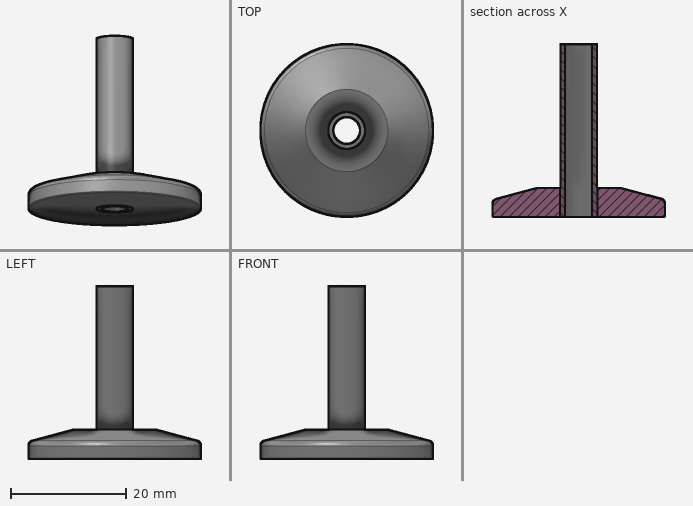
import cadquery as cq
import math

foot_diameter = 30.0
flat_top_diameter = 14.3
rim_height = 3.0
cone_slope = 15.0
rim_rounding = 1.0
bottom_rounding = 0.2

tube_outer_diameter = 6.4
tube_bore_diameter = 4.6
tube_length = 30.0

foot_radius = foot_diameter / 2
flat_top_radius = flat_top_diameter / 2
tube_outer_radius = tube_outer_diameter / 2
tube_bore_radius = tube_bore_diameter / 2
cone_rise = (foot_radius - flat_top_radius) * math.tan(math.radians(cone_slope))
foot_height = rim_height + cone_rise


def make_foot():
    wall = cq.Workplane("XY").circle(foot_radius).extrude(rim_height)
    cone = cq.Workplane(
        cq.Solid.makeCone(foot_radius, flat_top_radius, cone_rise, pnt=cq.Vector(0, 0, rim_height))
    )
    body = wall.union(cone)
    body = body.edges(cq.selectors.RadiusNthSelector(-1)).edges(">Z").fillet(rim_rounding)
    body = body.faces("<Z").edges().fillet(bottom_rounding)
    tube_hole = cq.Workplane("XY").circle(tube_outer_radius).extrude(foot_height)
    return body.cut(tube_hole)


def make_tube():
    return cq.Workplane("XY").circle(tube_outer_radius).circle(tube_bore_radius).extrude(tube_length)


foot = make_foot()
tube = make_tube()

result = cq.Compound.makeCompound([foot.val(), tube.val()])